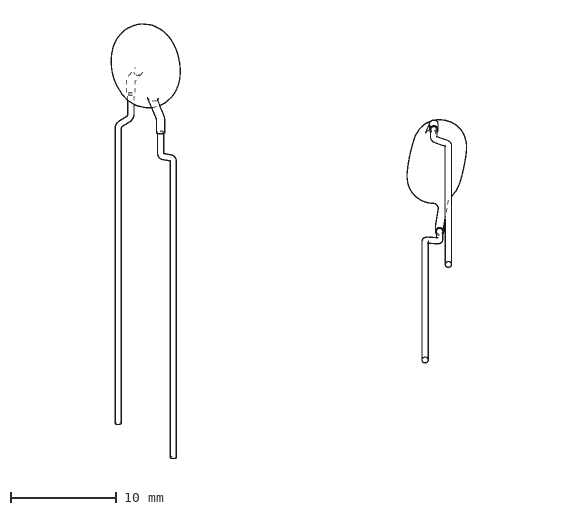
import cadquery as cq
import math

body_diameter = 8.0
body_thickness = 5.0
rim_radius = body_thickness / 2
flat_radius = body_diameter / 2 - rim_radius

lead_spacing = 10.0
lead_offset = 1.4
wire_diameter = 0.6
right_lead_bottom = -38.0
left_lead_bottom = -37.9

coating_diameter = 0.8
coating_bottom = -4.8
shoulder_bottom = -3.55
shoulder_bend_radius = 0.45
shoulder_angle = 45.0
branch_length = 3.0
coating_fillet = 0.5

jog_top = -6.87
jog_angle = 70.0
jog_bend_radius = 0.45


def make_body():
    return (
        cq.Workplane("XY")
        .moveTo(0, -rim_radius)
        .lineTo(flat_radius, -rim_radius)
        .threePointArc((body_diameter / 2, 0), (flat_radius, rim_radius))
        .lineTo(0, rim_radius)
        .close()
        .revolve(360, (0, 0, 0), (0, 1, 0))
    )


def rod(diameter, start, direction, length):
    return cq.Workplane(cq.Solid.makeCylinder(diameter / 2, length, start, direction))


def bend(diameter, start, pivot, axis, angle):
    """Round bar starting on a horizontal section and turning about an axis through the pivot."""
    section = cq.Workplane("XY", origin=start.toTuple()).circle(diameter / 2)
    axis_start = pivot - start
    axis_end = axis_start + axis
    return section.revolve(angle, axis_start.toTuple(), axis_end.toTuple())


def make_coating():
    """Coated end of the right lead: straight sleeve, shoulder bend and branch into the body."""
    angle = math.radians(shoulder_angle)
    lead_x = lead_spacing / 2
    sleeve_bottom = cq.Vector(lead_x, -lead_offset, coating_bottom)
    sleeve_top = cq.Vector(lead_x, -lead_offset, shoulder_bottom)
    pivot = sleeve_top - cq.Vector(shoulder_bend_radius, 0, 0)
    branch_start = pivot + cq.Vector(math.cos(angle), 0, math.sin(angle)) * shoulder_bend_radius
    branch_direction = cq.Vector(-math.sin(angle), 0, math.cos(angle))

    up = cq.Vector(0, 0, 1)
    sleeve = rod(coating_diameter, sleeve_bottom, up, shoulder_bottom - coating_bottom)
    shoulder = bend(coating_diameter, sleeve_top, pivot, cq.Vector(0, -1, 0), shoulder_angle)
    branch = rod(coating_diameter, branch_start, branch_direction, branch_length)
    return sleeve.union(shoulder).union(branch)


def make_wire(bottom):
    """Bare wire of the right lead: upper run, two-bend jog and long straight leg."""
    angle = math.radians(jog_angle)
    lead_x = lead_spacing / 2
    upper_end = cq.Vector(lead_x, -lead_offset, jog_top)
    bend_run = jog_bend_radius * (1 - math.cos(angle))
    bend_drop = jog_bend_radius * math.sin(angle)
    slope_length = (lead_offset - 2 * bend_run) / math.sin(angle)
    slope_start = upper_end + cq.Vector(0, bend_run, -bend_drop)
    slope_direction = cq.Vector(0, math.sin(angle), -math.cos(angle))
    jog_height = 2 * bend_drop + slope_length * math.cos(angle)
    leg_top = cq.Vector(lead_x, 0, jog_top - jog_height)

    down = cq.Vector(0, 0, -1)
    turn_radius = cq.Vector(0, jog_bend_radius, 0)
    upper_start = cq.Vector(lead_x, -lead_offset, coating_bottom)
    upper = rod(wire_diameter, upper_start, down, coating_bottom - jog_top)
    upper_bend = bend(wire_diameter, upper_end, upper_end + turn_radius, cq.Vector(1, 0, 0), jog_angle)
    slope = rod(wire_diameter, slope_start, slope_direction, slope_length)
    lower_bend = bend(wire_diameter, leg_top, leg_top - turn_radius, cq.Vector(1, 0, 0), jog_angle)
    leg = rod(wire_diameter, leg_top, down, leg_top.z - bottom)
    return upper.union(upper_bend).union(slope).union(lower_bend).union(leg)


def opposite(lead):
    return lead.rotate((0, 0, 0), (0, 0, 1), 180)


coated_body = make_body().union(make_coating()).union(opposite(make_coating()))
coated_body = coated_body.edges("%BSPLINE").fillet(coating_fillet)
right_wire = make_wire(right_lead_bottom)
left_wire = opposite(make_wire(left_lead_bottom))
result = coated_body.union(right_wire).union(left_wire)